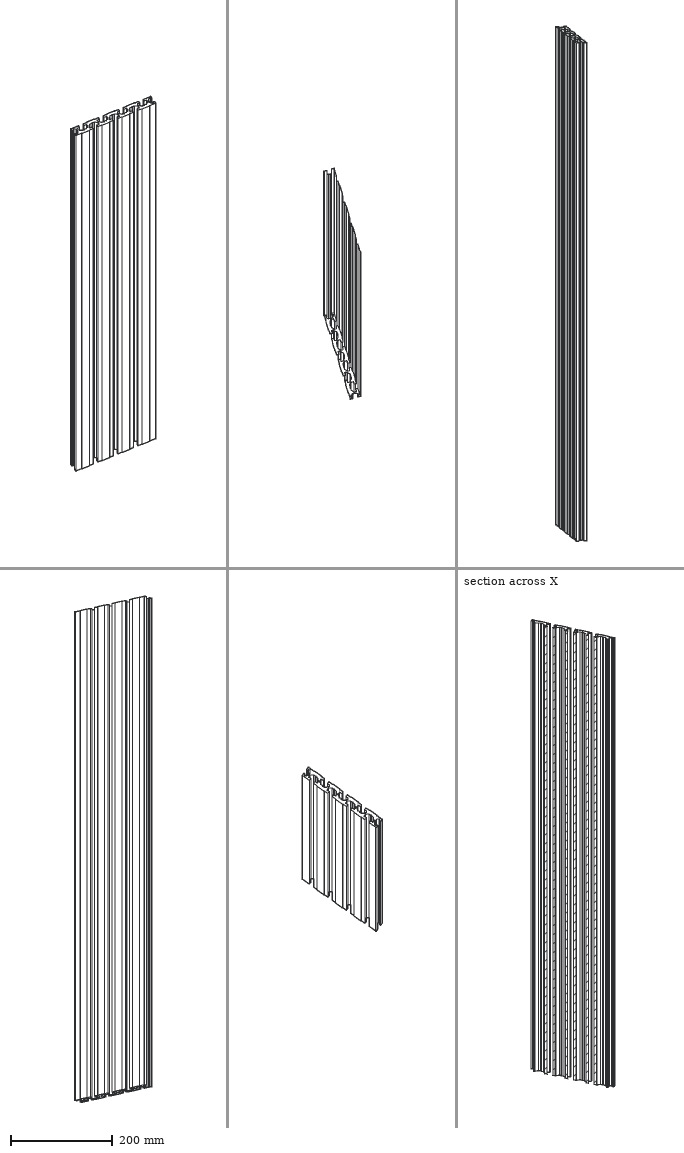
import cadquery as cq

LENGTH = 1000.0
WIDTH = 180.0
THICKNESS = 22.0

SLOT_PITCH = 45.0
LEFT_SLOT_COUNT = 4
RIGHT_SLOT_COUNT = 3
SLOT_MOUTH = 10.0
SLOT_CAVITY = 21.0
SLOT_LIP = 4.7
SLOT_WALL = 4.5
SLOT_FLOOR_WIDTH = SLOT_MOUTH
SLOT_BACK = 7.5

PAD_HEIGHT = 0.8
PAD_HALF_WIDTH = 8.8
RIM_WIDTH = 1.0

EDGE_MOUTH = 9.5
EDGE_CAVITY = 14.0
EDGE_LIP = 3.0
EDGE_WALL = 3.0
EDGE_FLOOR_WIDTH = 8.0
EDGE_DEPTH = 9.0

MARK_WIDTH = 2.0
MARK_DEPTH = 1.0

CORE_THICKNESS = THICKNESS - 2 * PAD_HEIGHT
SLOT_DEPTH = CORE_THICKNESS / 2 + THICKNESS / 2 - SLOT_BACK
OVERCUT = 5.0


def bar(x_size, y_size, x, y):
    """Full-length rectangular bar centred at (x, y)."""
    return cq.Workplane("XY").center(x, y).rect(x_size, y_size).extrude(LENGTH)


def slot_outline(mouth, cavity, lip, wall, floor_width, depth):
    """Closed T-slot outline as (depth below the mouth, offset from the slot's centre line)."""
    half = [
        (-OVERCUT, mouth / 2),
        (lip, mouth / 2),
        (lip, cavity / 2),
        (lip + wall, cavity / 2),
        (depth, floor_width / 2),
        (depth, MARK_WIDTH / 2),
    ]
    mark_tip = (depth + MARK_DEPTH, 0)
    return half + [mark_tip] + [(d, -offset) for d, offset in reversed(half)]


def face_slot(side, y):
    """T-slot cutter entering the broad face on the given X side."""
    outline = slot_outline(SLOT_MOUTH, SLOT_CAVITY, SLOT_LIP, SLOT_WALL, SLOT_FLOOR_WIDTH, SLOT_DEPTH)
    points = [(side * (CORE_THICKNESS / 2 - d), y + offset) for d, offset in outline]
    return cq.Workplane("XY").polyline(points).close().extrude(LENGTH)


def edge_slot(side):
    """T-slot cutter entering the narrow edge on the given Y side."""
    outline = slot_outline(EDGE_MOUTH, EDGE_CAVITY, EDGE_LIP, EDGE_WALL, EDGE_FLOOR_WIDTH, EDGE_DEPTH)
    points = [(offset, side * (WIDTH / 2 - d)) for d, offset in outline]
    return cq.Workplane("XY").polyline(points).close().extrude(LENGTH)


def back_pad(side, y):
    """Raised pad on the face opposite a slot that opens on the given X side."""
    return bar(THICKNESS / 2, 2 * PAD_HALF_WIDTH, -side * THICKNESS / 4, y)


def slot_rows(count):
    """Y positions of evenly pitched slots, centred on the plate."""
    return [(i - (count - 1) / 2) * SLOT_PITCH for i in range(count)]


slots = [(-1, y) for y in slot_rows(LEFT_SLOT_COUNT)]
slots += [(1, y) for y in slot_rows(RIGHT_SLOT_COUNT)]

result = bar(CORE_THICKNESS, WIDTH, 0, 0)
for side, y in slots:
    result = result.union(back_pad(side, y))
for side in (-1, 1):
    result = result.union(bar(THICKNESS, RIM_WIDTH, 0, side * (WIDTH - RIM_WIDTH) / 2))

for side, y in slots:
    result = result.cut(face_slot(side, y))
for side in (-1, 1):
    result = result.cut(edge_slot(side))